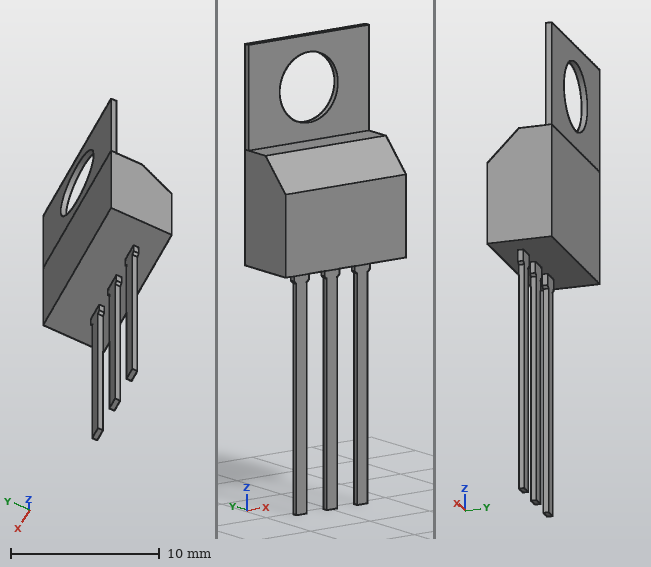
import cadquery as cq

width = 10.1
depth = 4.6
total_height = 32.3

tab_height = 7.3
tab_thickness = 0.42
hole_diameter = 4.88
hole_from_top = 3.62

lead_length = 17.0
chamfer_size = 2.25
housing_top = total_height - tab_height

lead_offsets = (-1, 0, 1)
lead_pitch = 2.55
lead_width = 0.87
lead_thickness = 0.4
lead_setback = 2.85
shoulder_width = 1.25
shoulder_length = 0.8
shoulder_taper = (shoulder_width - lead_width) / 2


def make_housing():
    """Moulded block with a sloped upper front edge."""
    return (
        cq.Workplane("YZ")
        .moveTo(0, lead_length)
        .lineTo(0, housing_top)
        .lineTo(chamfer_size - depth, housing_top)
        .lineTo(-depth, housing_top - chamfer_size)
        .lineTo(-depth, lead_length)
        .close()
        .extrude(width / 2, both=True)
    )


def make_tab():
    """Thin mounting plate standing on the back of the housing, with a screw hole."""
    plate = cq.Workplane("XY").box(width, tab_thickness, tab_height, centered=(True, False, False))
    plate = plate.translate((0, -tab_thickness, housing_top))
    hole = (
        cq.Workplane("XZ")
        .center(0, total_height - hole_from_top)
        .circle(hole_diameter / 2)
        .extrude(tab_thickness)
    )
    return plate.cut(hole)


def make_lead(x):
    """Flat lead centred on x, widened by a tapered shoulder under the housing."""
    shoulder_bottom = lead_length - shoulder_length
    return (
        cq.Workplane("XZ", origin=(x, lead_thickness / 2 - lead_setback, 0))
        .moveTo(-lead_width / 2, 0)
        .lineTo(lead_width / 2, 0)
        .lineTo(lead_width / 2, shoulder_bottom - shoulder_taper)
        .lineTo(shoulder_width / 2, shoulder_bottom)
        .lineTo(shoulder_width / 2, lead_length)
        .lineTo(-shoulder_width / 2, lead_length)
        .lineTo(-shoulder_width / 2, shoulder_bottom)
        .lineTo(-lead_width / 2, shoulder_bottom - shoulder_taper)
        .close()
        .extrude(lead_thickness)
    )


housing = make_housing()
tab = make_tab()
leads = [make_lead(offset * lead_pitch) for offset in lead_offsets]

result = cq.Compound.makeCompound([housing.val(), tab.val(), *[lead.val() for lead in leads]])